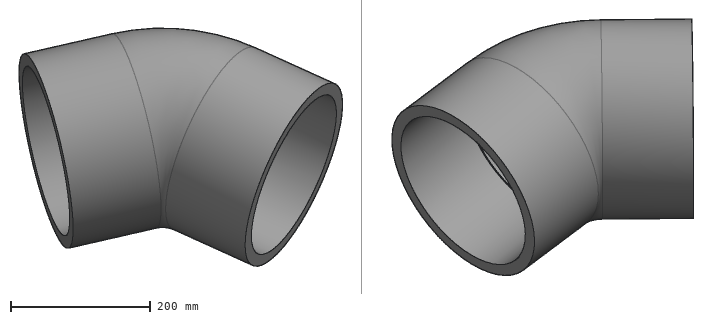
import cadquery as cq
import math

outer_diameter = 287.0
socket_diameter = 250.0
bend_bore_diameter = 244.5
bend_angle = 45.0
center_to_bend = 63.0
outlet_depth = 131.0
inlet_depth = 131.27

bend_angle_radians = math.radians(bend_angle)
bend_radius = center_to_bend / math.tan(bend_angle_radians / 2)

inlet_direction = cq.Vector(0, -1, 0)
outlet_direction = cq.Vector(math.sin(bend_angle_radians), math.cos(bend_angle_radians), 0)


def straight_cylinder(diameter, depth, direction):
    """Cylinder along one socket axis, from the end of the bend to the end face."""
    base = direction * center_to_bend
    return cq.Workplane(cq.Solid.makeCylinder(diameter / 2, depth, base, direction))


def bend(diameter):
    """Torus segment that joins the inner ends of the two sockets."""
    profile = cq.Workplane("XZ", origin=(0, -center_to_bend, 0)).circle(diameter / 2)
    return profile.revolve(bend_angle, (bend_radius, 1, 0), (bend_radius, 0, 0))


def elbow(end_diameter, bend_diameter):
    """Bend with a straight cylinder at each end."""
    inlet = straight_cylinder(end_diameter, inlet_depth, inlet_direction)
    outlet = straight_cylinder(end_diameter, outlet_depth, outlet_direction)
    return bend(bend_diameter).union(inlet).union(outlet)


body = elbow(outer_diameter, outer_diameter)
passage = elbow(socket_diameter, bend_bore_diameter)

result = body.cut(passage)